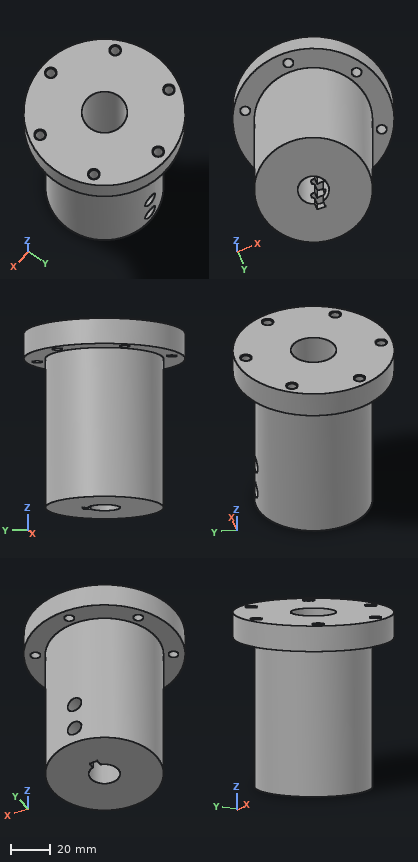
import cadquery as cq
import math

total_height = 90.0
flange_diameter = 82.0
flange_thickness = 13.1
sleeve_diameter = 60.0

wide_bore_diameter = 23.0
shaft_bore_diameter = 15.8
shaft_seat_length = 33.75
drill_point_angle = 118.0

keyway_width = 4.5
keyway_reach = 11.1

set_screw_diameter = 8.0
set_screw_pitch = 15.2

bolt_count = 6
bolt_circle_diameter = 70.0
bolt_hole_diameter = 5.0
bolt_hole_mouth_diameter = 6.0


def make_body():
    sleeve = cq.Workplane("XY").circle(sleeve_diameter / 2).extrude(total_height)
    flange = (
        cq.Workplane("XY", origin=(0, 0, total_height - flange_thickness))
        .circle(flange_diameter / 2)
        .extrude(flange_thickness)
    )
    return sleeve.union(flange)


def make_stepped_bore():
    wide_radius = wide_bore_diameter / 2
    shaft_radius = shaft_bore_diameter / 2
    cone_height = (wide_radius - shaft_radius) / math.tan(math.radians(drill_point_angle / 2))
    half_profile = (
        cq.Workplane("XZ")
        .polyline([
            (0, 0),
            (shaft_radius, 0),
            (shaft_radius, shaft_seat_length),
            (wide_radius, shaft_seat_length + cone_height),
            (wide_radius, total_height),
            (0, total_height),
        ])
        .close()
    )
    return half_profile.revolve(360, (0, 0, 0), (0, 1, 0))


def make_keyway():
    keyway_height = shaft_seat_length + wide_bore_diameter / 2
    return cq.Workplane("XY").box(
        keyway_width, keyway_reach, keyway_height, centered=(True, False, False)
    )


def make_set_screw_hole(height):
    return (
        cq.Workplane("XZ", origin=(0, 0, height))
        .circle(set_screw_diameter / 2)
        .extrude(-sleeve_diameter / 2)
    )


def cut_bolt_holes(body):
    mouth_chamfer_angle = 90
    return (
        body.faces(">Z")
        .workplane(origin=(0, 0, total_height))
        .polarArray(bolt_circle_diameter / 2, 90, 360, bolt_count)
        .cskHole(bolt_hole_diameter, bolt_hole_mouth_diameter, mouth_chamfer_angle, flange_thickness)
    )


result = cut_bolt_holes(make_body())
result = result.cut(make_stepped_bore()).cut(make_keyway())

for side in (-1, 1):
    screw_height = shaft_seat_length / 2 + side * set_screw_pitch / 2
    result = result.cut(make_set_screw_hole(screw_height))